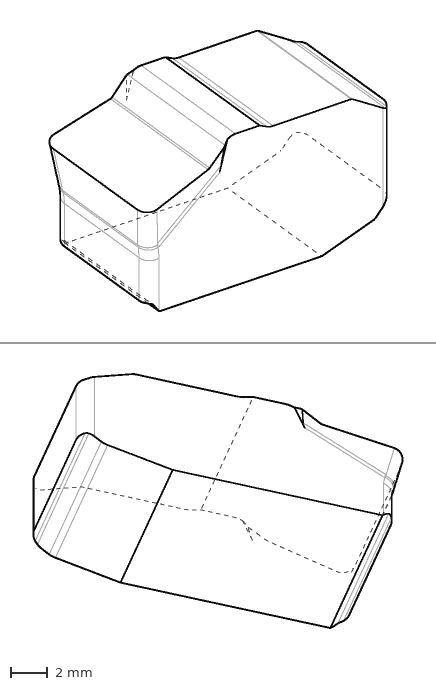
import cadquery as cq

length = 19.0
body_half_width = 3.65
nose_height = 13.02
corner_radius = 0.76
crest_radius = 0.95
relief_radius = 0.28
small_blend_radius = 0.19
back_blend_radius = 1.52
heel_radius = 0.57

flare_limit = 4.28
flank_lean = 0.1
flank_rise = 0.534
flank_rear_y = 5.95
flank_rear_z = 12.3
flank_blend_radius = 3.42
rear_face_lean = 0.284
rear_face_sweep = 2.1
flare_front_y = -1.9
flare_top_z = 17.1

crest = (6.57, 14.3)
nose_root = (4.94, nose_height)
back_step = (9.67, 12.79)
back_shoulder = (15.9, 10.53)
heel = (17.67, 0)
rear_ledge_top = (18.62, 7.79)
rear_ledge_bottom = (18.62, 0.8)
front_ledge = (0.84, 5.38)
front_face = [(0.5, 8.7), (0.42, 9.58), (0.36, 9.8)]
outline = [
    (0, nose_height),
    nose_root,
    crest,
    (8.91, 13.45),
    back_step,
    back_shoulder,
    rear_ledge_top,
    (length, rear_ledge_top[1]),
    (length, rear_ledge_bottom[1]),
    rear_ledge_bottom,
    heel,
    (13.62, 0),
    (1.3, 4.52),
    front_ledge,
    (front_face[0][0], front_ledge[1]),
    *front_face,
]

roundings = [
    (crest, crest_radius),
    (nose_root, small_blend_radius),
    (back_step, back_blend_radius),
    (back_shoulder, small_blend_radius),
    (heel, heel_radius),
    (rear_ledge_top, relief_radius),
    (rear_ledge_bottom, relief_radius),
    (front_ledge, relief_radius),
]


def edge_at(point):
    """Select the edge across the width at a (y, z) point of the outline."""
    reach = 0.01
    y, z = point
    return cq.selectors.BoxSelector(
        (-flare_limit, y - reach, z - reach), (flare_limit, y + reach, z + reach)
    )


def flank_z(y, growth):
    """Height where the flank at depth y stands out from the body side by growth."""
    return flank_rear_z + flank_rise * (y - flank_rear_y) + growth / flank_lean


def flare_section(half_width):
    """Closed wire of the flare in the plane x = half_width."""
    growth = half_width - body_half_width

    def rear_y(z):
        return flank_rear_y + rear_face_lean * (z - flank_rear_z) - rear_face_sweep * growth

    corner_z = flank_rear_z + growth * (1 / flank_lean - flank_rise * rear_face_sweep) / (
        1 - flank_rise * rear_face_lean
    )
    top_z = flare_top_z + growth / flank_lean
    points = [
        (rear_y(corner_z), corner_z),
        (rear_y(top_z), top_z),
        (flare_front_y, top_z),
        (flare_front_y, flank_z(flare_front_y, growth)),
    ]
    return cq.Wire.makePolygon([cq.Vector(half_width, y, z) for y, z in points], close=True)


def make_profile():
    """Side outline extruded wider than the nose, with its rounded crest and ledges."""
    profile = cq.Workplane("YZ").polyline(outline).close().extrude(flare_limit, both=True)
    for point, radius in roundings:
        profile = profile.edges(edge_at(point)).fillet(radius)
    return profile


def make_width_envelope():
    """Parallel body sides joined with a flare on each side of the nose."""
    envelope = cq.Workplane("XY").box(
        2 * body_half_width, length, flare_top_z, centered=(True, False, False)
    )
    flare = cq.Workplane(
        cq.Solid.makeLoft([flare_section(body_half_width), flare_section(flare_limit)], True)
    )
    envelope = envelope.union(flare).union(flare.mirror("YZ"))
    foot_y = flank_rear_y / 2
    for x in (-body_half_width, body_half_width):
        foot = cq.selectors.NearestToPointSelector((x, foot_y, flank_z(foot_y, 0)))
        envelope = envelope.edges(foot).fillet(flank_blend_radius)
    return envelope


def corner_section(front_y, z):
    """Plan outline at height z with rounded corners, front edge at front_y."""
    growth = max(0, flank_lean * (z - flank_z(front_y + corner_radius, 0)))
    depth = length - front_y
    return (
        cq.Workplane("XY")
        .rect(2 * (body_half_width + growth), depth)
        .extrude(0.19)
        .edges("|Z")
        .fillet(corner_radius)
        .faces("<Z")
        .wires()
        .val()
        .translate(cq.Vector(0, front_y + depth / 2, z))
    )


def make_corner_envelope():
    """Upright corners rounded along the straight rear and the leaning front."""
    foot_y, foot_z = front_face[-1]
    nose_slope = foot_y / (nose_height - foot_z)
    levels = [
        (front_face[0][0], 0),
        *front_face,
        (-nose_slope * (flare_top_z - nose_height), flare_top_z),
    ]
    sections = [corner_section(y, z) for y, z in levels]
    return cq.Workplane(cq.Solid.makeLoft(sections, True))


result = make_profile().intersect(make_width_envelope()).intersect(make_corner_envelope())